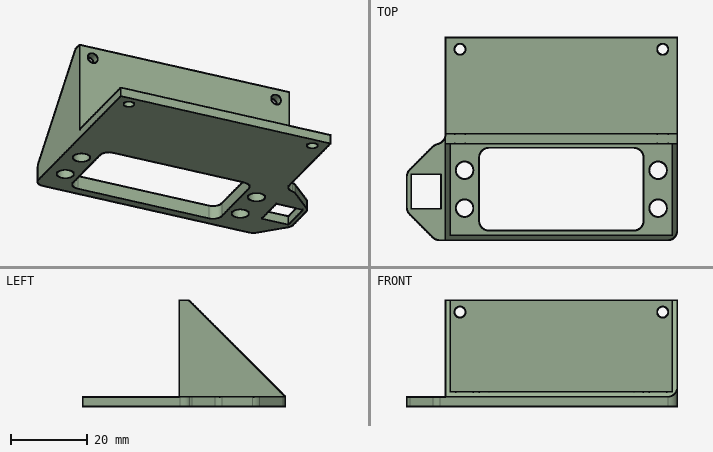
import cadquery as cq

total_length = 71.1
total_depth = 53.35
total_height = 27.95
plate_thickness = 2.55
gusset_thickness = 1.3
corner_radius = 2.55

body_length = 60.95
body_left = total_length - body_length
body_center_x = body_left + body_length / 2
floor_thickness = plate_thickness + gusset_thickness
wall_rise = total_height - plate_thickness
wall_front = wall_rise
wall_back = wall_front + plate_thickness

tab_depth = wall_front
tab_chamfer = 7.6
slot_length = 7.75
slot_depth = 8.95
slot_center_x = body_left / 2
slot_center_y = tab_depth / 2 + 0.15

window_length = 43.2
window_depth = 21.7
window_center_y = 13.45
window_radius = 2.55
large_hole_diameter = 4.55
large_hole_inset = 5.05
large_hole_pitch_y = 9.95

small_hole_diameter = 2.85
small_hole_side_inset = 3.85
small_hole_edge_inset = 3.1
small_hole_pitch = body_length - 2 * small_hole_side_inset


def box(left, front, bottom, length, depth, height):
    """Box placed by its left, front, bottom corner."""
    return cq.Workplane("XY").box(length, depth, height, centered=False).translate((left, front, bottom))


def make_base():
    """Base plate with its chamfered tab, rounded at the tab and the front right corner."""
    plate = box(body_left, 0, 0, body_length, total_depth, plate_thickness)
    tab_outline = [
        (body_left, 0),
        (tab_chamfer, 0),
        (0, tab_chamfer),
        (0, tab_depth - tab_chamfer),
        (tab_chamfer, tab_depth),
        (body_left, tab_depth),
    ]
    tab = cq.Workplane("XY").polyline(tab_outline).close().extrude(plate_thickness)
    base = plate.union(tab).clean()
    rounded_corners = tab_outline[1:] + [(total_length, 0)]
    for x, y in rounded_corners:
        edge = cq.selectors.NearestToPointSelector((x, y, plate_thickness / 2))
        base = base.edges("|Z").edges(edge).fillet(corner_radius)
    return base


def make_upright():
    """Wall, sloped gussets and raised floor, as a wedge hollowed between the gussets."""
    side_profile = [
        (0, plate_thickness),
        (wall_back, plate_thickness),
        (wall_back, total_height),
        (wall_front, total_height),
    ]
    wedge = cq.Workplane("YZ", origin=(body_left, 0, 0)).polyline(side_profile).close().extrude(body_length)
    hollow = box(
        body_left + gusset_thickness,
        gusset_thickness,
        floor_thickness,
        body_length - 2 * gusset_thickness,
        wall_front - gusset_thickness,
        wall_rise,
    )
    envelope = box(body_left, 0, 0, body_length, wall_back, total_height)
    envelope = envelope.edges("|Z and >X and <Y").fillet(corner_radius)
    return wedge.intersect(envelope).cut(hollow)


def base_openings():
    """Window, tab slot and round holes through the base plate and the raised floor."""
    window = (
        cq.Workplane("XY")
        .center(body_center_x, window_center_y)
        .rect(window_length, window_depth)
        .extrude(floor_thickness)
        .edges("|Z")
        .fillet(window_radius)
    )
    slot = (
        cq.Workplane("XY")
        .center(slot_center_x, slot_center_y)
        .rect(slot_length, slot_depth)
        .extrude(floor_thickness)
    )
    large_holes = (
        cq.Workplane("XY")
        .center(body_center_x, window_center_y)
        .rarray(body_length - 2 * large_hole_inset, large_hole_pitch_y, 2, 2)
        .circle(large_hole_diameter / 2)
        .extrude(floor_thickness)
    )
    small_holes = (
        cq.Workplane("XY")
        .center(body_center_x, total_depth - small_hole_edge_inset)
        .rarray(small_hole_pitch, 0.7, 2, 1)
        .circle(small_hole_diameter / 2)
        .extrude(floor_thickness)
    )
    return window.union(slot).union(large_holes).union(small_holes)


def wall_holes():
    """Two small holes through the upright wall near its top corners."""
    return (
        cq.Workplane("XZ", origin=(body_center_x, wall_back, total_height - small_hole_edge_inset))
        .rarray(small_hole_pitch, 0.7, 2, 1)
        .circle(small_hole_diameter / 2)
        .extrude(plate_thickness)
    )


result = make_base().union(make_upright()).cut(base_openings()).cut(wall_holes())